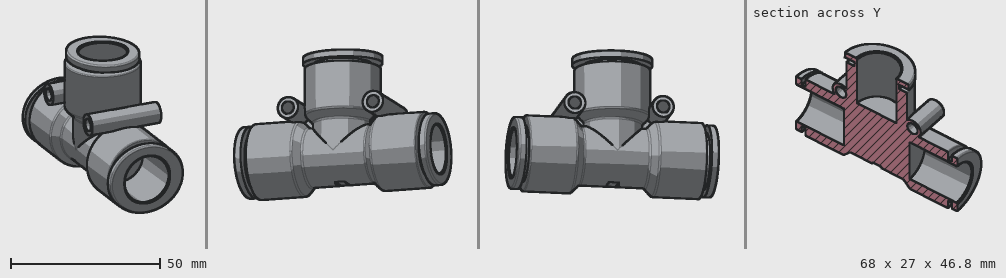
import cadquery as cq
import math


ARM_LENGTH = 34.0

BODY_RADIUS = 12.8
BODY_END = 30.0
PIPE_RADIUS = 10.0
SHOULDER_START = 13.95
SHOULDER_FILLET = 1.0
BODY_EDGE_FILLET = 0.35

CAP_LONG_DIAMETER = 27.0
CAP_SHORT_DIAMETER = 24.0
CAP_THICKNESS = 2.45
CAP_EDGE_FILLET = 0.55
NECK_RADIUS = 9.5

BORE_RADIUS = 8.15
BORE_CHAMFER = 0.4
BORE_DEPTH = ARM_LENGTH - SHOULDER_START

LUG_OFFSET = 15.0
LUG_RADIUS = 3.6
LUG_HOLE_RADIUS = 2.1
LUG_LENGTH = 2 * BODY_RADIUS

WEB_THICKNESS = 2.05
WEB_WIDTH = 2.45

NOTCH_DEPTH = 0.55
NOTCH_FLOOR_WIDTH = 3.25
NOTCH_MOUTH_WIDTH = 4.1

CONE_END = SHOULDER_START - (BODY_RADIUS - PIPE_RADIUS)


def make_arm_body():
    """Pipe, cone and full-size body of one arm, pointing along +Z from the origin."""
    outline = (
        cq.Workplane("XZ")
        .moveTo(0, 0)
        .lineTo(PIPE_RADIUS, 0)
        .lineTo(PIPE_RADIUS, CONE_END)
        .lineTo(BODY_RADIUS, SHOULDER_START)
        .lineTo(BODY_RADIUS, BODY_END)
        .lineTo(0, BODY_END)
        .close()
    )
    body = outline.revolve(360, (0, 0, 0), (0, 1, 0))
    reach = BODY_RADIUS + 0.7
    around_cone = cq.selectors.BoxSelector(
        (-reach, -reach, CONE_END - 0.7),
        (reach, reach, SHOULDER_START + 0.7),
        boundingbox=True,
    )
    body = body.edges("%CIRCLE").edges(around_cone).fillet(SHOULDER_FILLET)
    return body.edges(">Z").fillet(BODY_EDGE_FILLET)


def make_cap():
    """Oval release cap with its round neck, on an arm pointing along +Z; long side along X."""
    cap_base = ARM_LENGTH - CAP_THICKNESS
    cap = (
        cq.Workplane("XY", origin=(0, 0, cap_base))
        .ellipse(CAP_LONG_DIAMETER / 2, CAP_SHORT_DIAMETER / 2)
        .extrude(CAP_THICKNESS)
        .edges(">Z")
        .fillet(CAP_EDGE_FILLET)
    )
    neck_length = cap_base - SHOULDER_START
    neck = cq.Workplane("XY", origin=(0, 0, SHOULDER_START)).circle(NECK_RADIUS).extrude(neck_length)
    return cap.union(neck)


def make_bore():
    """Blind tube socket with a chamfered mouth, on an arm pointing along +Z."""
    floor = ARM_LENGTH - BORE_DEPTH
    outline = (
        cq.Workplane("XZ")
        .moveTo(0, floor)
        .lineTo(BORE_RADIUS, floor)
        .lineTo(BORE_RADIUS, ARM_LENGTH - BORE_CHAMFER)
        .lineTo(BORE_RADIUS + BORE_CHAMFER, ARM_LENGTH)
        .lineTo(0, ARM_LENGTH)
        .close()
    )
    return outline.revolve(360, (0, 0, 0), (0, 1, 0))


def make_arm():
    return make_arm_body().union(make_cap()).cut(make_bore())


def place_on_run(arm, side):
    """Turn an upright arm to point along +X (side = 1) or -X (side = -1), cap long side along Y."""
    return arm.rotate((0, 0, 0), (0, 0, 1), 90).rotate((0, 0, 0), (0, 1, 0), 90 * side)


def lug_cylinder(radius, side):
    """Cylinder along Y on the lug axis, as long as the lug."""
    x = side * LUG_OFFSET
    z = LUG_OFFSET
    return cq.Workplane("XZ", origin=(x, LUG_LENGTH / 2, z)).circle(radius).extrude(LUG_LENGTH)


def make_web(side):
    """Rib running out along the diagonal from the origin to the lug axis."""
    length = LUG_OFFSET * math.sqrt(2)
    web = cq.Workplane("XY").box(WEB_WIDTH, WEB_THICKNESS, length, centered=(True, True, False))
    return web.rotate((0, 0, 0), (0, 1, 0), 45 * side)


def make_notch():
    """Trapezoidal groove along Y that only touches the lowest part of the run."""
    bottom = -PIPE_RADIUS
    outline = [
        (-NOTCH_MOUTH_WIDTH / 2, bottom),
        (-NOTCH_FLOOR_WIDTH / 2, bottom + NOTCH_DEPTH),
        (NOTCH_FLOOR_WIDTH / 2, bottom + NOTCH_DEPTH),
        (NOTCH_MOUTH_WIDTH / 2, bottom),
    ]
    return cq.Workplane("XZ").polyline(outline).close().extrude(PIPE_RADIUS, both=True)


arm = make_arm()
result = place_on_run(arm, -1).union(place_on_run(arm, 1)).union(arm)

for side in (-1, 1):
    lug = lug_cylinder(LUG_RADIUS, side)
    result = result.union(lug).union(make_web(side))

for side in (-1, 1):
    result = result.cut(lug_cylinder(LUG_HOLE_RADIUS, side))

result = result.cut(make_notch())